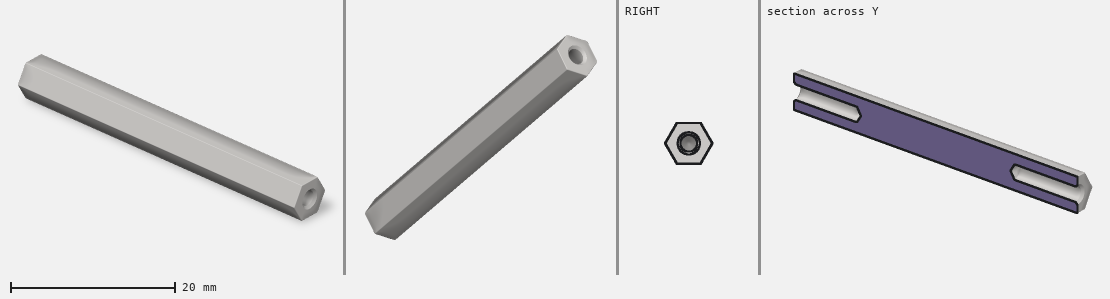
import cadquery as cq
import math

length = 45.0
across_flats = 5.0
edge_radius = 0.1

hole_diameter = 2.05
hole_depth = 10.0
drill_point_angle = 118.0
countersink_diameter = 2.7
countersink_angle = 90.0

across_corners = across_flats / math.cos(math.radians(30))
half_length = length / 2


def cone_height(radius_change, included_angle):
    """Axial length over which a cone changes by the given radius."""
    return radius_change / math.tan(math.radians(included_angle / 2))


def make_bar():
    """Hexagonal bar with flats facing +Z and -Z and all edges rounded."""
    bar = cq.Workplane("YZ").polygon(6, across_corners).extrude(half_length, both=True)
    return bar.edges().fillet(edge_radius)


def make_hole():
    """Countersunk, drill-pointed hole entering the -X end."""
    hole_radius = hole_diameter / 2
    countersink_radius = countersink_diameter / 2
    countersink_depth = cone_height(countersink_radius - hole_radius, countersink_angle)
    tip_depth = hole_depth + cone_height(hole_radius, drill_point_angle)
    half_profile = (
        cq.Workplane("XY")
        .moveTo(-half_length, 0)
        .lineTo(-half_length, countersink_radius)
        .lineTo(-half_length + countersink_depth, hole_radius)
        .lineTo(-half_length + hole_depth, hole_radius)
        .lineTo(-half_length + tip_depth, 0)
        .close()
    )
    return half_profile.revolve(360, (0, 0, 0), (1, 0, 0))


near_hole = make_hole()
far_hole = near_hole.mirror("YZ")
result = make_bar().cut(near_hole).cut(far_hole)